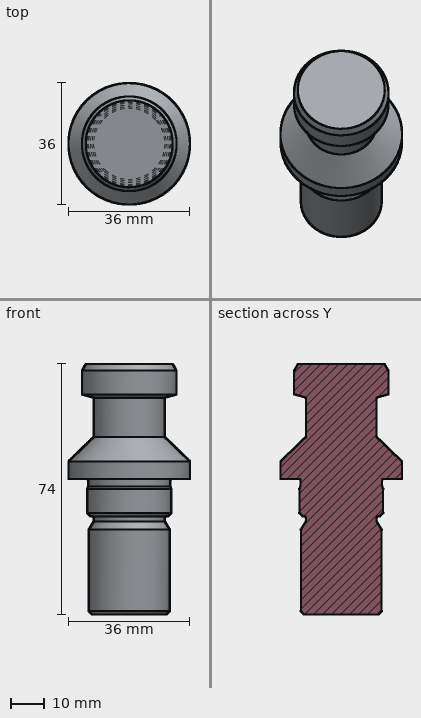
import cadquery as cq

head_diameter = 28.0
head_top_diameter = 25.7
neck_diameter = 21.0
flange_diameter = 36.0
relief_diameter = 24.3
collar_diameter = 24.9
groove_diameter = 21.0
shank_diameter = 24.0

shank_top = 25.1
groove_bottom = 27.5
collar_bottom = 29.0
relief_ramp_bottom = 37.15
relief_bottom = 37.8
flange_bottom = 40.0
flange_top = 45.2
neck_bottom = 52.5
neck_top = 64.0
head_bottom = 65.0
head_top_edge = 72.0
total_height = 74.0

shank_chamfer = 1.0
collar_chamfer = 0.95
groove_fillet = 0.6
relief_fillet = 0.4

head_radius = head_diameter / 2
head_top_radius = head_top_diameter / 2
neck_radius = neck_diameter / 2
flange_radius = flange_diameter / 2
relief_radius = relief_diameter / 2
collar_radius = collar_diameter / 2
groove_radius = groove_diameter / 2
shank_radius = shank_diameter / 2

profile = (
    cq.Workplane("XZ")
    .lineTo(shank_radius - shank_chamfer, 0)
    .lineTo(shank_radius, shank_chamfer)
    .lineTo(shank_radius, shank_top)
    .lineTo(groove_radius, groove_bottom)
    .lineTo(groove_radius, collar_bottom - groove_fillet)
    .radiusArc((groove_radius + groove_fillet, collar_bottom), groove_fillet)
    .lineTo(collar_radius - collar_chamfer, collar_bottom)
    .lineTo(collar_radius, collar_bottom + collar_chamfer)
    .lineTo(collar_radius, relief_ramp_bottom)
    .lineTo(relief_radius, relief_bottom)
    .lineTo(relief_radius, flange_bottom - relief_fillet)
    .radiusArc((relief_radius + relief_fillet, flange_bottom), relief_fillet)
    .lineTo(flange_radius, flange_bottom)
    .lineTo(flange_radius, flange_top)
    .lineTo(neck_radius, neck_bottom)
    .lineTo(neck_radius, neck_top)
    .lineTo(head_radius, head_bottom)
    .lineTo(head_radius, head_top_edge)
    .lineTo(head_top_radius, total_height)
    .lineTo(0, total_height)
    .close()
)

result = profile.revolve(360, (0, 0, 0), (0, 1, 0))